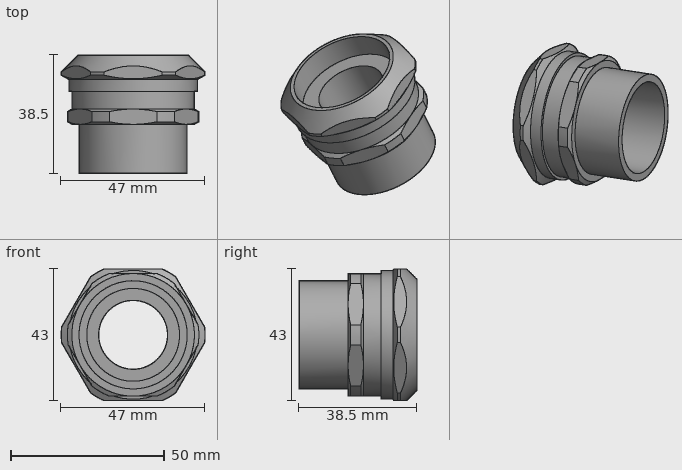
import cadquery as cq
import math

total_length = 38.55
chamfer_angle = math.radians(30)
hex_sides = 6

socket_diameter = 35.3
socket_length = 16.0
socket_bore_diameter = 30.3
socket_bore_depth = socket_length

body_diameter = 40.0
body_hex_flats = 40.0
body_hex_corners = 42.9
body_hex_length = 5.0
body_end = 26.75

collar_diameter = 42.0
collar_end = 30.6
cap_hex_flats = 43.0
cap_hex_corners = 47.0
cap_hex_end = 33.1
cap_taper_angle = math.radians(45)

through_diameter = 22.4
cap_bore_diameter = 33.5
cap_bore_depth = total_length - collar_end


def cylinder(diameter, start, end):
    """Round bar along Y from start to end."""
    return cq.Workplane("XZ", origin=(0, start, 0)).circle(diameter / 2).extrude(start - end)


def hexagon(flats, start, end):
    """Hexagonal bar along Y with flats facing up and down."""
    across_points = flats / math.cos(math.pi / hex_sides)
    return cq.Workplane("XZ", origin=(0, start, 0)).polygon(hex_sides, across_points).extrude(start - end)


def revolved(profile):
    """Solid of revolution about Y from (radius, y) points, closed along the axis."""
    start = profile[0][1]
    end = profile[-1][1]
    outline = [(0, start)] + profile + [(0, end)]
    return cq.Workplane("XY").polyline(outline).close().revolve(360, (0, 0, 0), (0, 1, 0))


def body_hexagon():
    """Hexagon with truncated corners, chamfered down to the body diameter at both ends."""
    start = socket_length
    end = socket_length + body_hex_length
    face_radius = body_diameter / 2
    corner_radius = body_hex_corners / 2
    chamfer = (corner_radius - face_radius) * math.tan(chamfer_angle)
    envelope = revolved([
        (face_radius, start),
        (corner_radius, start + chamfer),
        (corner_radius, end - chamfer),
        (face_radius, end),
    ])
    return hexagon(body_hex_flats, start, end).intersect(envelope)


def cap_hexagon():
    """Cap nut hexagon, chamfered from the collar and tapering to the end face."""
    collar_radius = collar_diameter / 2
    corner_radius = cap_hex_corners / 2
    chamfer = (corner_radius - collar_radius) * math.tan(chamfer_angle)
    end_radius = corner_radius - (total_length - cap_hex_end) * math.tan(cap_taper_angle)
    envelope = revolved([
        (collar_radius, collar_end),
        (corner_radius, collar_end + chamfer),
        (corner_radius, cap_hex_end),
        (end_radius, total_length),
    ])
    return hexagon(cap_hex_flats, collar_end, total_length).intersect(envelope)


def outer_form():
    """Outside of the fitting as one solid, from socket to cap end."""
    socket = cylinder(socket_diameter, 0, socket_length)
    body = cylinder(body_diameter, socket_length + body_hex_length, body_end)
    collar = cylinder(collar_diameter, body_end, collar_end)
    return socket.union(body_hexagon()).union(body).union(collar).union(cap_hexagon())


def bores():
    """Stepped opening: pipe socket, narrow passage and wide cap entry."""
    socket_bore = cylinder(socket_bore_diameter, 0, socket_bore_depth)
    through_bore = cylinder(through_diameter, 0, total_length)
    cap_bore = cylinder(cap_bore_diameter, total_length - cap_bore_depth, total_length)
    return socket_bore.union(through_bore).union(cap_bore)


result = outer_form().cut(bores())